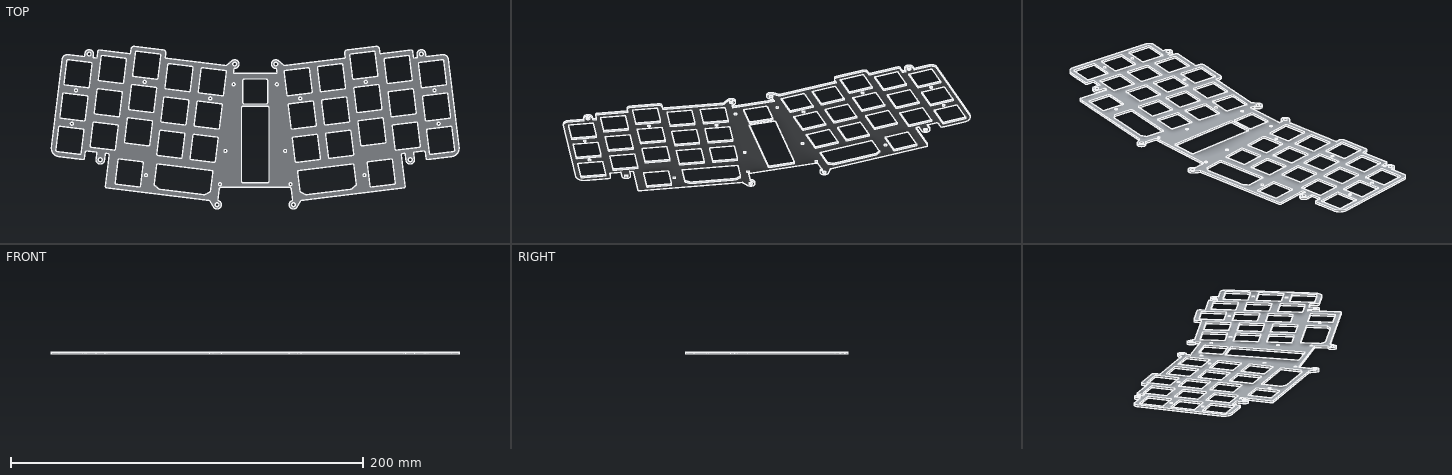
import cadquery as cq
import math

THICKNESS = 1.2
PITCH = 19.05
STAGGER = PITCH / 4
TILT = 7.0
KEY_SIZE = 14.3
KEY_RADIUS = 0.5
RIM = 2.87
TOP_RIM = 3.0
RAISED_RIM = 2.7
SHELF_RIM = 2.5
HALF_ORIGIN = (24.38, 26.08)

COLUMN_STAGGER = [0, 0, 1, 0, -1]
RAISED = 2
HOLE_COLUMNS = (0, 2, 4)
ROWS = 3

BOTTOM_ROW_V = -3 * PITCH
WIDE_KEY_U = 0.5 * PITCH
WIDE_KEY_WIDTH = 32.0
WIDE_KEY_HEIGHT = 14.0
WIDE_CHAMFER_U = 3.0
WIDE_CHAMFER_V = 2.0
SINGLE_KEY_U = 2.125 * PITCH

INNER_EDGE_U = -11.4
BOTTOM_EDGE_U = 53.1
NOTCH_EDGE_U = 3.5 * PITCH
CORNER_RADIUS = 1.0
RAISED_RADIUS = 1.8
UPPER_OUTER_RADIUS = 3.3
LOWER_OUTER_RADIUS = 5.0
NOTCH_RADIUS = 0.7

BRIDGE_TOP = 31.0
BRIDGE_BOTTOM = -33.9
BRIDGE_OVERLAP = 1.5
BRIDGE_RADIUS = 0.8
SMALL_WINDOW = (14.0, 14.0)
SMALL_WINDOW_TOP = 27.5
LARGE_WINDOW = (15.5, 43.3)
LARGE_WINDOW_TOP = 12.1
WINDOW_RADIUS = 0.8

TAB_RADIUS = 2.5
TAB_HOLE = 2.1
PLATE_HOLE = 1.6
TOP_INNER_TAB = (INNER_EDGE_U, 11.5)
BOTTOM_INNER_TAB = (-11.2, -68.97)
TAB_WEB_U = -6.7
TOP_OUTER_TAB = (71.3, 7.1)
BOTTOM_OUTER_TAB = (57.7, -51.7)
EDGE_HOLE_U = -12.2
BOTTOM_HOLE_U = 30.9

REACH = KEY_SIZE / 2 + RIM
COLUMN_U = [i * PITCH for i in range(len(COLUMN_STAGGER))]
COLUMN_V = [step * STAGGER for step in COLUMN_STAGGER]
COLUMN_DROP = (ROWS - 1) * PITCH
OUTER_EDGE_U = COLUMN_U[-1] + REACH
TOP_EDGE_V = KEY_SIZE / 2 + TOP_RIM
RAISED_TOP_V = COLUMN_V[RAISED] + KEY_SIZE / 2 + RAISED_RIM
LOWERED_TOP_V = COLUMN_V[-1] + KEY_SIZE / 2 + TOP_RIM
LOWERED_BOTTOM_V = COLUMN_V[-1] - COLUMN_DROP - REACH
SHELF_V = -COLUMN_DROP - KEY_SIZE / 2 - SHELF_RIM
BOTTOM_EDGE_V = BOTTOM_ROW_V - REACH

tilt = math.radians(TILT)
half_plane = cq.Plane(
    origin=(HALF_ORIGIN[0], HALF_ORIGIN[1], 0),
    xDir=(math.cos(tilt), math.sin(tilt), 0),
    normal=(0, 0, 1),
)


def on_half():
    return cq.Workplane(half_plane)


def round_corner(body, u, v, radius):
    """Round the upright edge standing at (u, v) of the right half."""
    corner = half_plane.toWorldCoords((u, v, THICKNESS / 2))
    return body.edges("|Z").edges(cq.selectors.NearestToPointSelector(corner)).fillet(radius)


def half_outline():
    raised_left = COLUMN_U[RAISED] - REACH
    raised_right = COLUMN_U[RAISED] + REACH
    points = [
        (INNER_EDGE_U, TOP_EDGE_V),
        (raised_left, TOP_EDGE_V),
        (raised_left, RAISED_TOP_V),
        (raised_right, RAISED_TOP_V),
        (raised_right, TOP_EDGE_V),
        (NOTCH_EDGE_U, TOP_EDGE_V),
        (NOTCH_EDGE_U, LOWERED_TOP_V),
        (OUTER_EDGE_U, LOWERED_TOP_V),
        (OUTER_EDGE_U, LOWERED_BOTTOM_V),
        (NOTCH_EDGE_U, LOWERED_BOTTOM_V),
        (NOTCH_EDGE_U, SHELF_V),
        (BOTTOM_EDGE_U, SHELF_V),
        (BOTTOM_EDGE_U, BOTTOM_EDGE_V),
        (INNER_EDGE_U, BOTTOM_EDGE_V),
    ]
    body = on_half().polyline(points).close().extrude(THICKNESS)
    rounded = [
        (raised_left, RAISED_TOP_V, RAISED_RADIUS),
        (raised_right, RAISED_TOP_V, RAISED_RADIUS),
        (NOTCH_EDGE_U, TOP_EDGE_V, CORNER_RADIUS),
        (OUTER_EDGE_U, LOWERED_TOP_V, UPPER_OUTER_RADIUS),
        (OUTER_EDGE_U, LOWERED_BOTTOM_V, LOWER_OUTER_RADIUS),
        (NOTCH_EDGE_U, LOWERED_BOTTOM_V, CORNER_RADIUS),
        (NOTCH_EDGE_U, SHELF_V, NOTCH_RADIUS),
        (BOTTOM_EDGE_U, SHELF_V, NOTCH_RADIUS),
        (BOTTOM_EDGE_U, BOTTOM_EDGE_V, CORNER_RADIUS),
    ]
    for u, v, radius in rounded:
        body = round_corner(body, u, v, radius)
    return body


def inner_tab(center, side):
    """Round ear on the inner edge with a slanted web; side is +1 at the top, -1 at the bottom."""
    u, v = center
    diagonal = TAB_RADIUS * math.sqrt(0.5)
    edge_v = TOP_EDGE_V if side > 0 else BOTTOM_EDGE_V
    web = [
        (u, v),
        (u + diagonal, v + side * diagonal),
        (TAB_WEB_U, edge_v),
        (TAB_WEB_U, edge_v - side * RIM),
        (u, edge_v - side * RIM),
    ]
    ear = on_half().center(u, v).circle(TAB_RADIUS).extrude(THICKNESS)
    return ear.union(on_half().polyline(web).close().extrude(THICKNESS))


def outer_tab(center, edge_v):
    """Round ear joined straight to the plate edge lying at edge_v."""
    u, v = center
    ear = on_half().center(u, v).circle(TAB_RADIUS).extrude(THICKNESS)
    neck = on_half().center(u, (v + edge_v) / 2).rect(2 * TAB_RADIUS, abs(v - edge_v)).extrude(THICKNESS)
    return ear.union(neck)


def key_cutouts():
    centers = [
        (u, v - row * PITCH) for u, v in zip(COLUMN_U, COLUMN_V) for row in range(ROWS)
    ]
    centers.append((SINGLE_KEY_U, BOTTOM_ROW_V))
    keys = on_half().pushPoints(centers).rect(KEY_SIZE, KEY_SIZE).extrude(THICKNESS)
    return keys.edges("|Z").fillet(KEY_RADIUS)


def wide_key_cutout():
    left = WIDE_KEY_U - WIDE_KEY_WIDTH / 2
    right = WIDE_KEY_U + WIDE_KEY_WIDTH / 2
    top = BOTTOM_ROW_V + WIDE_KEY_HEIGHT / 2
    bottom = BOTTOM_ROW_V - WIDE_KEY_HEIGHT / 2
    points = [
        (left, top),
        (right, top),
        (right, bottom + WIDE_CHAMFER_V),
        (right - WIDE_CHAMFER_U, bottom),
        (left + WIDE_CHAMFER_U, bottom),
        (left, bottom + WIDE_CHAMFER_V),
    ]
    return on_half().polyline(points).close().extrude(THICKNESS).edges("|Z").fillet(KEY_RADIUS)


def holes(centers, diameter):
    return on_half().pushPoints(centers).circle(diameter / 2).extrude(THICKNESS)


def right_half():
    body = half_outline()
    body = body.union(inner_tab(TOP_INNER_TAB, 1))
    body = body.union(inner_tab(BOTTOM_INNER_TAB, -1))
    body = body.union(outer_tab(TOP_OUTER_TAB, LOWERED_TOP_V))
    body = body.union(outer_tab(BOTTOM_OUTER_TAB, SHELF_V))
    return body


def half_cutouts():
    tab_holes = [TOP_INNER_TAB, BOTTOM_INNER_TAB, TOP_OUTER_TAB, BOTTOM_OUTER_TAB]
    plate_holes = [(COLUMN_U[i], COLUMN_V[i] - PITCH / 2) for i in HOLE_COLUMNS]
    plate_holes += [
        (COLUMN_U[-1], COLUMN_V[-1] - 1.5 * PITCH),
        (EDGE_HOLE_U, 0),
        (EDGE_HOLE_U, -2 * PITCH),
        (INNER_EDGE_U, BOTTOM_ROW_V),
        (BOTTOM_HOLE_U, BOTTOM_ROW_V),
    ]
    cutouts = key_cutouts().union(wide_key_cutout())
    return cutouts.union(holes(tab_holes, TAB_HOLE)).union(holes(plate_holes, PLATE_HOLE))


def inner_edge_x(y):
    """X of the tilted inner edge of the right half at a given Y."""
    edge = half_plane.toWorldCoords((INNER_EDGE_U, 0, 0))
    return edge.x - (y - edge.y) * math.tan(tilt)


def bridge():
    top_x = inner_edge_x(BRIDGE_TOP) + BRIDGE_OVERLAP
    bottom_x = inner_edge_x(BRIDGE_BOTTOM) + BRIDGE_OVERLAP
    points = [
        (-top_x, BRIDGE_TOP),
        (top_x, BRIDGE_TOP),
        (bottom_x, BRIDGE_BOTTOM),
        (-bottom_x, BRIDGE_BOTTOM),
    ]
    return cq.Workplane("XY").polyline(points).close().extrude(THICKNESS)


def window(size, top):
    width, height = size
    opening = cq.Workplane("XY").center(0, top - height / 2).rect(width, height).extrude(THICKNESS)
    return opening.edges("|Z").fillet(WINDOW_RADIUS)


def mirrored(body):
    return body.union(body.mirror("YZ"))


def round_bridge_corner(body, side):
    """Round the corner between the bridge's lower edge and the half on the given side (-1 or +1)."""
    corner = (side * inner_edge_x(BRIDGE_BOTTOM), BRIDGE_BOTTOM, THICKNESS / 2)
    return body.edges("|Z").edges(cq.selectors.NearestToPointSelector(corner)).fillet(BRIDGE_RADIUS)


plate = mirrored(right_half()).union(bridge())
for half_side in (-1, 1):
    plate = round_bridge_corner(plate, half_side)
plate = plate.cut(mirrored(half_cutouts()))
plate = plate.cut(window(SMALL_WINDOW, SMALL_WINDOW_TOP))
result = plate.cut(window(LARGE_WINDOW, LARGE_WINDOW_TOP))